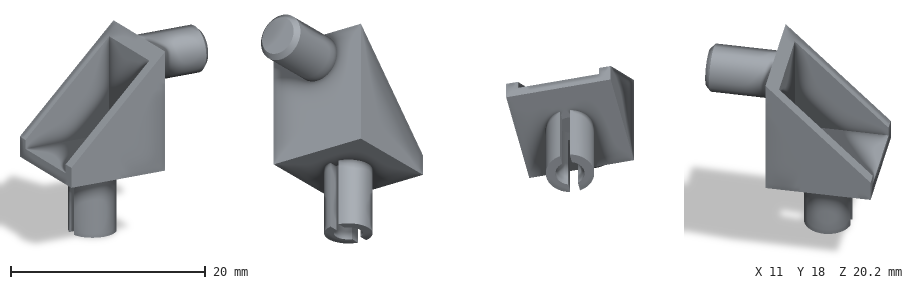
import cadquery as cq

width = 11.0
depth = 11.0
overall_depth = 18.0
height = 12.99
overall_height = 20.2
front_height = 2.18
wall = 1.23
floor_thickness = 1.21
back_wall = 1.2

pin_diameter = 4.99
pin_radius = pin_diameter / 2
back_pin_length = overall_depth - depth
back_pin_chamfer = 0.5
lower_pin_length = overall_height - height
bore_diameter = 2.99
slot_width = 1.03
lower_pin_y = -depth / 2


def make_body():
    """Wedge with a sloping open top, hollowed to leave a floor, back and two sides."""
    wedge = (
        cq.Workplane("YZ")
        .polyline([(0, 0), (0, height), (-depth, front_height), (-depth, 0)])
        .close()
        .extrude(width / 2, both=True)
    )
    pocket = cq.Workplane("XY").box(
        width - 2 * wall, depth - back_wall, height, centered=(True, False, False)
    ).translate((0, -depth, floor_thickness))
    return wedge.cut(pocket)


def make_back_pin():
    """Horizontal pin, level with the top of the back face, with a chamfered tip."""
    return (
        cq.Workplane("XZ", origin=(0, 0, height - pin_radius))
        .circle(pin_radius)
        .extrude(-back_pin_length)
        .faces(">Y")
        .chamfer(back_pin_chamfer)
    )


def make_lower_pin():
    """Vertical pin split in two by a slot running front to back."""
    pin = (
        cq.Workplane("XY", origin=(0, lower_pin_y, 0))
        .circle(pin_radius)
        .extrude(-lower_pin_length)
    )
    slot = cq.Workplane("XY").box(
        slot_width, pin_diameter, lower_pin_length, centered=(True, True, False)
    ).translate((0, lower_pin_y, -lower_pin_length))
    return pin.cut(slot)


def make_bore():
    """Round hole through the floor and the whole lower pin."""
    return (
        cq.Workplane("XY", origin=(0, lower_pin_y, -lower_pin_length))
        .circle(bore_diameter / 2)
        .extrude(lower_pin_length + floor_thickness)
    )


result = make_body().union(make_back_pin()).union(make_lower_pin()).cut(make_bore())